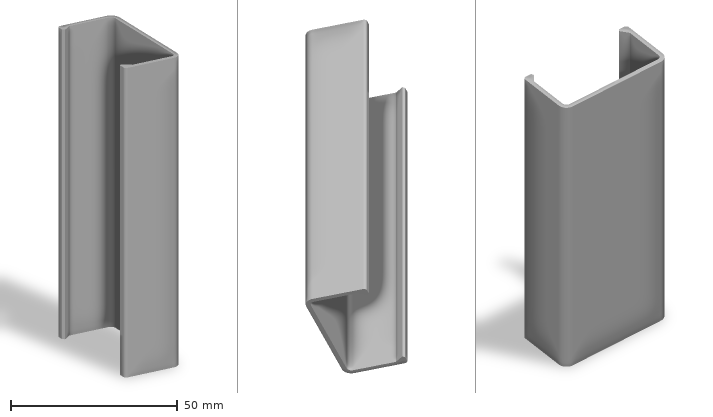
import cadquery as cq

width = 40.0
depth = 20.0
length = 100.0
wall = 1.5
corner_radius = 3.0
foot_radius = 1.0
lip_reach = 3.5
lip_height = 3.4
lip_tip_height = 0.7
foot_width = 2.9

half_width = width / 2
front_y = -depth / 2


def channel_body():
    """U-shaped channel, open towards -Y, with rounded back corners."""
    outer = (
        cq.Workplane("XY")
        .box(width, depth, length)
        .edges("|Z and >Y")
        .fillet(corner_radius)
    )
    cavity = (
        cq.Workplane("XY")
        .box(width - 2 * wall, depth, length)
        .edges("|Z and >Y")
        .fillet(corner_radius - wall)
        .translate((0, -wall, 0))
    )
    return outer.cut(cavity)


def snap_lip(side):
    """Inward lip with a sloped back and undercut tip; side is -1 for -X, +1 for +X."""
    outer_x = side * half_width
    inner_x = side * (half_width - wall)
    tip_x = side * (half_width - lip_reach)
    foot_x = side * (half_width - foot_width)
    return (
        cq.Workplane("XY", origin=(0, 0, -length / 2))
        .moveTo(outer_x, front_y)
        .lineTo(foot_x, front_y)
        .lineTo(tip_x, front_y + lip_tip_height)
        .lineTo(inner_x, front_y + lip_height)
        .lineTo(outer_x, front_y + lip_height)
        .close()
        .extrude(length)
    )


result = channel_body()
for side in (-1, 1):
    result = result.union(snap_lip(side))
result = result.clean()

for outer_face in ("<X", ">X"):
    result = result.faces(outer_face).edges("<Y").fillet(foot_radius)